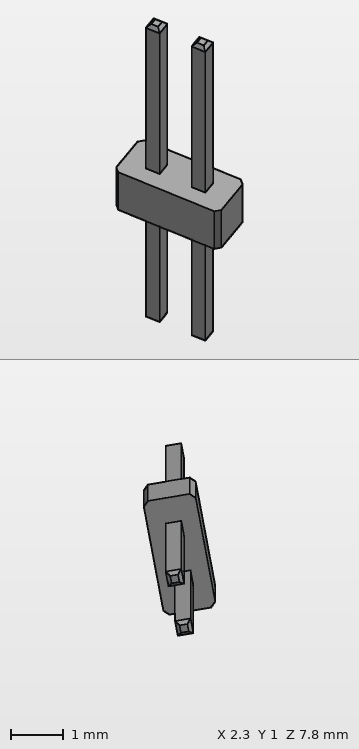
import cadquery as cq

pin_count = 2
pitch = 1.0
body_length = 2.3
body_width = 1.0
body_height = 1.0
body_corner_chamfer = 0.1
pin_side = 0.3
pin_above_body = 3.8
pin_below_body = 3.0
tip_chamfer = pin_side / 4

pin_length = pin_below_body + body_height + pin_above_body


def make_body():
    """Insulating block standing on Z = 0, with chamfered vertical edges."""
    return (
        cq.Workplane("XY")
        .box(body_length, body_width, body_height, centered=(True, True, False))
        .edges("|Z")
        .chamfer(body_corner_chamfer)
    )


def make_pin(x):
    """Square pin through the block at the given X, tapered at both ends."""
    return (
        cq.Workplane("XY")
        .box(pin_side, pin_side, pin_length, centered=(True, True, False))
        .faces("<Z or >Z")
        .chamfer(tip_chamfer)
        .translate((x, 0, -pin_below_body))
    )


result = make_body()
first_pin_x = -pitch * (pin_count - 1) / 2
for index in range(pin_count):
    result = result.union(make_pin(first_pin_x + index * pitch))